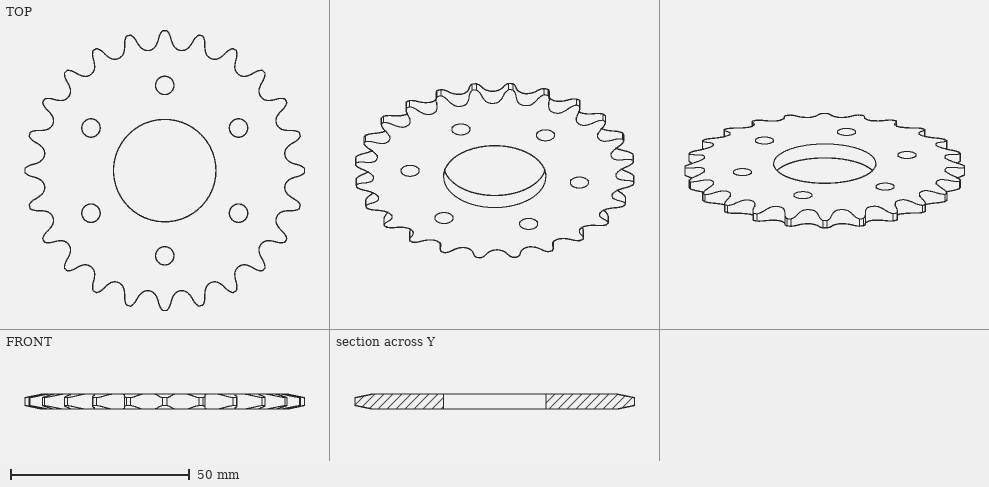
import cadquery as cq
import math

TOOTH_COUNT = 24
CHAIN_PITCH = 9.525
ROLLER_DIAMETER = 5.08
OUTER_DIAMETER = 78.22
THICKNESS = 4.27

RELIEF_START_DIAMETER = 68.6
TIP_THICKNESS = 2.2
TIP_CLEARANCE = 0.5

BORE_DIAMETER = 28.575
BOLT_CIRCLE_DIAMETER = 47.625
BOLT_HOLE_DIAMETER = 5.08
BOLT_HOLE_COUNT = 6
FIRST_BOLT_ANGLE = 90

outer_radius = OUTER_DIAMETER / 2
half_pitch_angle = 180 / TOOTH_COUNT
pitch_radius = CHAIN_PITCH / 2 / math.sin(math.radians(half_pitch_angle))

SEATING_ALLOWANCE = 0.0762
seating_radius = (1.005 * ROLLER_DIAMETER + SEATING_ALLOWANCE) / 2
seating_angle = 35 + 60 / TOOTH_COUNT
working_angle = 18 - 56 / TOOTH_COUNT
working_center_distance = 0.8 * ROLLER_DIAMETER
topping_center_distance = 1.4 * ROLLER_DIAMETER
working_radius = seating_radius + working_center_distance


def polar(radius, angle, origin=(0, 0)):
    """Point at a radius and an angle in degrees from an origin."""
    turn = math.radians(angle)
    return origin[0] + radius * math.cos(turn), origin[1] + radius * math.sin(turn)


def rotated(point, angle):
    """Point turned about the sprocket axis by an angle in degrees."""
    return polar(math.hypot(*point), math.degrees(math.atan2(point[1], point[0])) + angle)


def mirrored(point):
    """Point reflected across the Y axis."""
    return -point[0], point[1]


def gap_flank():
    """Points of the left flank of the gap centred on +Y, from the gap bottom to the tooth tip."""
    roller_center = (0, pitch_radius)
    working_center = polar(working_center_distance, seating_angle, roller_center)
    topping_center = polar(topping_center_distance, 180 + half_pitch_angle, roller_center)

    straight_normal = seating_angle - working_angle
    working_end = polar(working_radius, 180 + straight_normal, working_center)
    normal_x, normal_y = polar(1, straight_normal)
    topping_radius = (
        (working_end[0] - topping_center[0]) * normal_x
        + (working_end[1] - topping_center[1]) * normal_y
    )

    center_distance = math.hypot(*topping_center)
    center_angle = math.degrees(math.atan2(topping_center[1], topping_center[0]))
    tip_cosine = (outer_radius**2 + center_distance**2 - topping_radius**2) / (
        2 * outer_radius * center_distance
    )
    tip = polar(outer_radius, center_angle - math.degrees(math.acos(tip_cosine)))
    topping_start = polar(topping_radius, straight_normal, topping_center)
    tip_direction = math.degrees(math.atan2(tip[1] - topping_center[1], tip[0] - topping_center[0]))

    return {
        "bottom": (0, pitch_radius - seating_radius),
        "seating_end": polar(seating_radius, 180 + seating_angle, roller_center),
        "working_middle": polar(working_radius, 180 + seating_angle - working_angle / 2, working_center),
        "working_end": working_end,
        "topping_start": topping_start,
        "topping_middle": polar(topping_radius, (straight_normal + tip_direction) / 2, topping_center),
        "tip": tip,
    }


def bottom_plane():
    """Workplane on the bottom face of the plate."""
    return cq.Workplane("XY").workplane(offset=-THICKNESS / 2)


def toothed_plate():
    """Full-thickness plate with the tooth outline, centred on the XY plane, one tooth on +Y."""
    left = gap_flank()
    right = {name: mirrored(point) for name, point in left.items()}
    tooth_angle = 360 / TOOTH_COUNT

    first_turn = -half_pitch_angle
    outline = bottom_plane().moveTo(*rotated(left["tip"], first_turn))
    for tooth in range(TOOTH_COUNT):
        turn = first_turn - tooth * tooth_angle
        outline = (
            outline
            .threePointArc(rotated(left["topping_middle"], turn), rotated(left["topping_start"], turn))
            .lineTo(*rotated(left["working_end"], turn))
            .threePointArc(rotated(left["working_middle"], turn), rotated(left["seating_end"], turn))
            .threePointArc(rotated(left["bottom"], turn), rotated(right["seating_end"], turn))
            .threePointArc(rotated(right["working_middle"], turn), rotated(right["working_end"], turn))
            .lineTo(*rotated(right["topping_start"], turn))
            .threePointArc(rotated(right["topping_middle"], turn), rotated(right["tip"], turn))
            .threePointArc(
                rotated((0, outer_radius), turn - half_pitch_angle),
                rotated(left["tip"], turn - tooth_angle),
            )
        )
    return outline.close().extrude(THICKNESS)


def relief_envelope():
    """Disc whose two faces slope toward the tooth tips, centred on the XY plane."""
    relief_start_radius = RELIEF_START_DIAMETER / 2
    relief_slope = (THICKNESS - TIP_THICKNESS) / 2 / (outer_radius - relief_start_radius)

    envelope_radius = outer_radius + TIP_CLEARANCE
    envelope_half_thickness = TIP_THICKNESS / 2 - relief_slope * TIP_CLEARANCE
    return (
        cq.Workplane("XZ")
        .moveTo(0, -THICKNESS / 2)
        .lineTo(relief_start_radius, -THICKNESS / 2)
        .lineTo(envelope_radius, -envelope_half_thickness)
        .lineTo(envelope_radius, envelope_half_thickness)
        .lineTo(relief_start_radius, THICKNESS / 2)
        .lineTo(0, THICKNESS / 2)
        .close()
        .revolve(360, (0, 0), (0, 1))
    )


def through_cylinders(workplane, diameter):
    """Cylinders through the plate thickness at the points of a bottom workplane."""
    return workplane.circle(diameter / 2).extrude(THICKNESS)


bore = through_cylinders(bottom_plane(), BORE_DIAMETER)
bolt_holes = through_cylinders(
    bottom_plane().polarArray(BOLT_CIRCLE_DIAMETER / 2, FIRST_BOLT_ANGLE, 360, BOLT_HOLE_COUNT),
    BOLT_HOLE_DIAMETER,
)

result = toothed_plate().intersect(relief_envelope()).cut(bore).cut(bolt_holes)